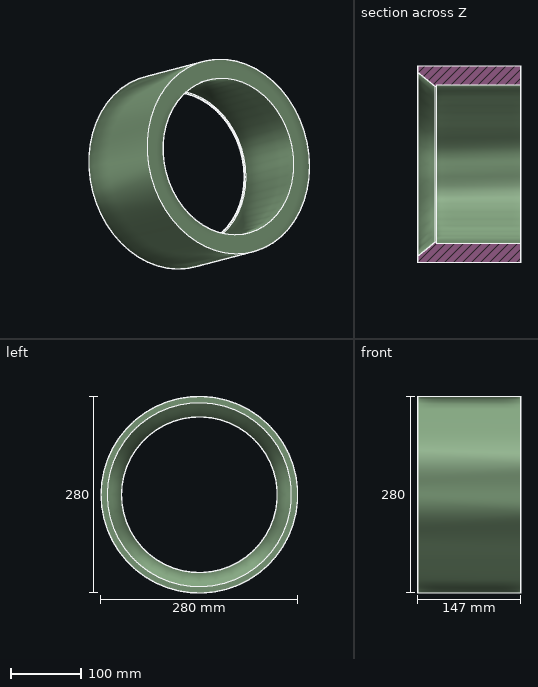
import cadquery as cq

length = 147.0
outer_diameter = 280.0
bore_diameter = 225.0
lip_diameter = 221.0
mouth_diameter = 261.67
cone_depth = 25.0
lip_width = 2.0

mouth_x = -length / 2
cone_end_x = mouth_x + cone_depth
lip_end_x = cone_end_x + lip_width
plain_end_x = length / 2


def ring_section():
    """Half section of the ring, drawn as (axial position, radius)."""
    return (
        cq.Workplane("XY")
        .moveTo(mouth_x, outer_diameter / 2)
        .lineTo(plain_end_x, outer_diameter / 2)
        .lineTo(plain_end_x, bore_diameter / 2)
        .lineTo(lip_end_x, bore_diameter / 2)
        .lineTo(lip_end_x, lip_diameter / 2)
        .lineTo(cone_end_x, lip_diameter / 2)
        .lineTo(mouth_x, mouth_diameter / 2)
        .close()
    )


result = ring_section().revolve(360, (0, 0, 0), (1, 0, 0))